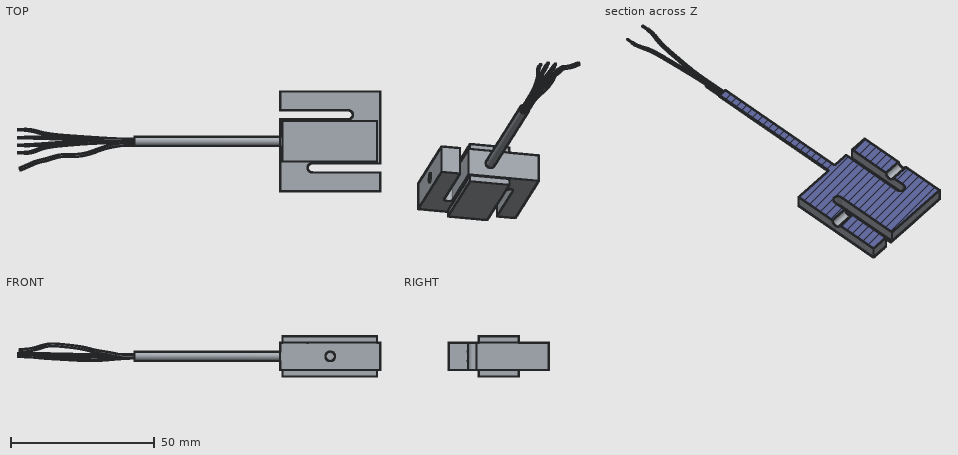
import cadquery as cq
import math

BLOCK_SIDE = 34.92
BLOCK_HEIGHT = 9.65
SLOT_WIDTH = 3.05
SLOT_OFFSET = 9.25
SLOT_DEPTH = 25.3
MOUNT_HOLE_DIAMETER = 3.3

TOTAL_HEIGHT = 14.11
COVER_LENGTH = 33.02
COVER_WIDTH = 14.11
COVER_SETBACK = 0.76

TOTAL_LENGTH = 126.24
CABLE_DIAMETER = 3.3
CABLE_LENGTH = 50.8
WIRE_DIAMETER = 0.8
STRAY_DIAMETER = 1.0
CONDUCTOR_DIAMETER = 0.51
CONDUCTOR_LENGTH = 2.3
WIRE_GAP = 0.02
BUNDLE_SHIFT = 0.12

ALONG_X = (1, 0, 0)
BLOCK_LEFT = -BLOCK_SIDE / 2
BLOCK_RIGHT = BLOCK_SIDE / 2
CABLE_END = BLOCK_LEFT - CABLE_LENGTH
CONDUCTOR_TIP = BLOCK_RIGHT - TOTAL_LENGTH
INSULATION_TIP = CONDUCTOR_TIP + CONDUCTOR_LENGTH

WIRE_PITCH = WIRE_DIAMETER + WIRE_GAP
HALF_PITCH = WIRE_PITCH / 2
BUNDLE_LEFT = BUNDLE_SHIFT + HALF_PITCH
BUNDLE_RIGHT = BUNDLE_SHIFT - HALF_PITCH
STRAY_PITCH = (WIRE_DIAMETER + STRAY_DIAMETER) / 2 + WIRE_GAP
STRAY_Y = BUNDLE_RIGHT - math.sqrt(STRAY_PITCH**2 - HALF_PITCH**2)

SIGNAL_WIRES = [
    [
        (INSULATION_TIP, 4.0, 0.05),
        (-101.0, 3.0, -0.3),
        (-92.0, 1.8, -0.9),
        (-82.0, 1.1, -1.25),
        (CABLE_END, BUNDLE_LEFT, -HALF_PITCH),
    ],
    [
        (INSULATION_TIP, 1.33, 0.85),
        (-93.0, 0.95, 0.55),
        (CABLE_END, BUNDLE_LEFT, HALF_PITCH),
    ],
    [
        (INSULATION_TIP, -1.33, 0.85),
        (-95.5, -0.7, 0.6),
        (-86.0, -0.3, 0.45),
        (CABLE_END, BUNDLE_RIGHT, HALF_PITCH),
    ],
    [
        (INSULATION_TIP, -4.0, 0.15),
        (-101.0, -2.6, -0.3),
        (-93.0, -1.25, -0.75),
        (-83.0, -0.5, -0.85),
        (CABLE_END, BUNDLE_RIGHT, -HALF_PITCH),
    ],
]

STRAY_WIRE = [
    (-108.1, -9.66, 2.0),
    (-105.1, -8.4, 2.25),
    (-102.0, -7.1, 2.9),
    (-99.4, -6.5, 3.7),
    (-97.1, -5.8, 4.0),
    (-94.1, -5.05, 3.85),
    (-89.5, -4.95, 3.35),
    (-85.3, -4.45, 2.65),
    (-81.9, -3.4, 1.8),
    (-78.1, -2.1, 1.15),
    (-74.3, -1.35, 0.4),
    (CABLE_END, STRAY_Y, 0.0),
]


def make_slot(mouth_x, inward, y):
    """Cutter for a slot entering at mouth_x and running along X in the inward direction."""
    radius = SLOT_WIDTH / 2
    end_x = mouth_x + inward * (SLOT_DEPTH - radius)
    straight = (
        cq.Workplane("XY")
        .center((mouth_x + end_x) / 2, y)
        .rect(abs(end_x - mouth_x), SLOT_WIDTH)
        .extrude(BLOCK_HEIGHT / 2, both=True)
    )
    rounded_end = cq.Workplane("XY").center(end_x, y).circle(radius).extrude(BLOCK_HEIGHT / 2, both=True)
    return straight.union(rounded_end)


def make_block():
    """S-shaped block: two opposed slots and a mounting hole through each outer arm."""
    block = cq.Workplane("XY").box(BLOCK_SIDE, BLOCK_SIDE, BLOCK_HEIGHT)
    block = block.cut(make_slot(BLOCK_LEFT, 1, SLOT_OFFSET))
    block = block.cut(make_slot(BLOCK_RIGHT, -1, -SLOT_OFFSET))
    arm_reach = BLOCK_SIDE / 2 - SLOT_OFFSET
    for side in (-1, 1):
        hole = (
            cq.Workplane("XZ", origin=(0, side * BLOCK_SIDE / 2, 0))
            .circle(MOUNT_HOLE_DIAMETER / 2)
            .extrude(side * arm_reach)
        )
        block = block.cut(hole)
    return block


def make_cover(side):
    """Cover plate on the top (side = 1) or bottom (side = -1) of the block."""
    thickness = (TOTAL_HEIGHT - BLOCK_HEIGHT) / 2
    centre_x = BLOCK_LEFT + COVER_SETBACK + COVER_LENGTH / 2
    centre_z = side * (BLOCK_HEIGHT + thickness) / 2
    return cq.Workplane("XY").box(COVER_LENGTH, COVER_WIDTH, thickness).translate((centre_x, 0, centre_z))


def make_rod(start, length, diameter):
    """Round rod running from start in the +X direction."""
    return cq.Workplane("YZ", origin=start).circle(diameter / 2).extrude(length)


def make_wire(points, tip_direction, diameter):
    """Insulated wire swept along a smooth curve that meets the cable end along X."""
    path = cq.Workplane("XY").spline(points, tangents=[tip_direction, ALONG_X])
    profile_plane = cq.Plane(origin=points[0], normal=tip_direction)
    return cq.Workplane(profile_plane).circle(diameter / 2).sweep(path)


def make_conductor(wire_points):
    """Straight bare conductor along X, standing on the free end of a signal wire."""
    _, tip_y, tip_z = wire_points[0]
    return make_rod((CONDUCTOR_TIP, tip_y, tip_z), CONDUCTOR_LENGTH, CONDUCTOR_DIAMETER)


attachments = [make_cover(-1), make_cover(1), make_rod((CABLE_END, 0, 0), CABLE_LENGTH, CABLE_DIAMETER)]

for signal_wire in SIGNAL_WIRES:
    attachments.append(make_wire(signal_wire, ALONG_X, WIRE_DIAMETER))
    attachments.append(make_conductor(signal_wire))

stray_direction = tuple(after - before for before, after in zip(STRAY_WIRE[0], STRAY_WIRE[1]))
attachments.append(make_wire(STRAY_WIRE, stray_direction, STRAY_DIAMETER))

body = make_block().val().fuse(*[attachment.val() for attachment in attachments])
result = cq.Workplane("XY").newObject(body.Solids())